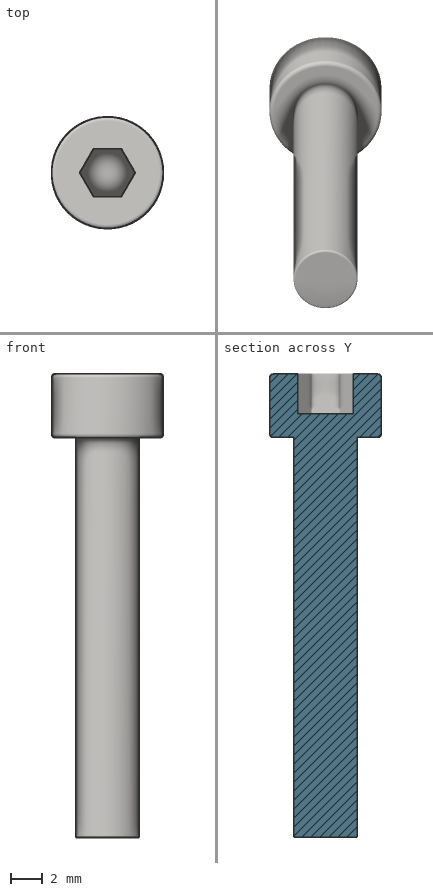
import cadquery as cq
import math

HEAD_DIAMETER = 7.0
HEAD_HEIGHT = 4.0
HEAD_EDGE_RADIUS = 0.25
SHANK_DIAMETER = 4.0
SHANK_LENGTH = 25.0
SHANK_TIP_RADIUS = 0.125
HEX_ACROSS_FLATS = 3.0
HEX_ACROSS_CORNERS = HEX_ACROSS_FLATS / math.cos(math.radians(30))
HEX_DEPTH = 2.5


def make_head():
    """Cylindrical head with both rims rounded."""
    head = cq.Workplane("XY").circle(HEAD_DIAMETER / 2).extrude(HEAD_HEIGHT)
    return head.faces("<Z or >Z").edges().fillet(HEAD_EDGE_RADIUS)


def make_shank():
    """Plain shank below the head, rounded at its tip."""
    shank = cq.Workplane("XY").circle(SHANK_DIAMETER / 2).extrude(-SHANK_LENGTH)
    return shank.faces("<Z").edges().fillet(SHANK_TIP_RADIUS)


def make_hex_socket():
    """Blind hexagonal drive socket with two corners on the X axis."""
    head_top = cq.Workplane("XY").workplane(offset=HEAD_HEIGHT)
    return head_top.polygon(6, HEX_ACROSS_CORNERS).extrude(-HEX_DEPTH)


result = make_head().union(make_shank()).cut(make_hex_socket())